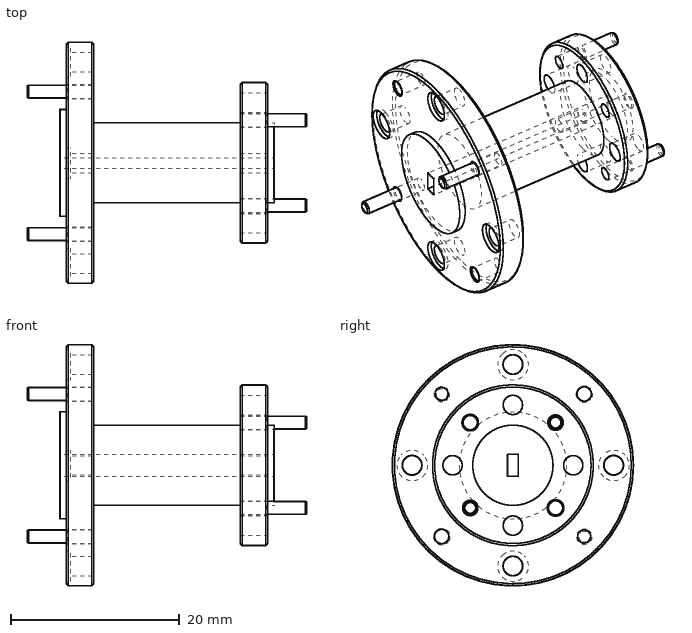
import cadquery as cq
import math


length = 25.4
boss_height = 0.75
flange_thickness = 3.28
pin_reach = 3.88
pin_chamfer_length = 0.2
flange_chamfer = 0.25

large_diameter = 28.58
large_boss_diameter = 12.7
large_hole_circle = 23.87
counterbore_diameter = 3.6
counterbore_depth = 0.5

small_diameter = 19.05
tube_diameter = 9.5
small_hole_circle = 14.3

screw_hole_diameter = 2.3
dowel_hole_diameter = 1.7
hole_chamfer = 0.13
pin_diameter = 1.55
pin_chamfer_width = 0.13

bore_width = 1.25
bore_height = 2.55

large_face = boss_height
large_back = large_face + flange_thickness
small_face = length - boss_height
small_back = small_face - flange_thickness

SCREW_ANGLES = [0, 90, 180, 270]
LARGE_PIN_ANGLES = [135, 315]
LARGE_DOWEL_ANGLES = [45, 225]
SMALL_PIN_ANGLES = [45, 225]
SMALL_DOWEL_ANGLES = [135, 315]


def cylinder(x, diameter, depth, y=0.0, z=0.0):
    """Solid cylinder along +X that starts at x."""
    return cq.Workplane("YZ", origin=(x, y, z)).circle(diameter / 2).extrude(depth)


def on_circle(circle_diameter, angle):
    """Y and Z of a place on a hole circle, with the angle measured from +Y towards +Z."""
    radius = circle_diameter / 2
    return radius * math.cos(math.radians(angle)), radius * math.sin(math.radians(angle))


def drill(body, x, circle_diameter, angles, diameter, depth):
    """Cut one hole at each angle of a hole circle."""
    for angle in angles:
        body = body.cut(cylinder(x, diameter, depth, *on_circle(circle_diameter, angle)))
    return body


def make_flange(x, diameter):
    """Flange disc with both rims chamfered."""
    return cylinder(x, diameter, flange_thickness).edges().chamfer(flange_chamfer)


def drill_chamfered(body, face_x, inward, circle_diameter, angles, diameter):
    """Drill through a flange from its outer face, inward along X (1 or -1), chamfering each mouth."""
    direction = cq.Vector(inward, 0, 0)
    for angle in angles:
        mouth_center = cq.Vector(face_x, *on_circle(circle_diameter, angle))
        bore = cq.Solid.makeCylinder(diameter / 2, flange_thickness, mouth_center, direction)
        mouth = cq.Solid.makeCone(
            diameter / 2 + hole_chamfer,
            diameter / 2,
            hole_chamfer,
            mouth_center,
            direction,
        )
        body = body.cut(cq.Workplane(bore)).cut(cq.Workplane(mouth))
    return body


def make_housing():
    """Tube, both flanges and both bosses as one body, with all its holes."""
    body = cylinder(0, large_boss_diameter, large_back)
    body = body.union(make_flange(large_face, large_diameter))
    body = body.union(make_flange(small_back, small_diameter))
    body = body.union(cylinder(large_face, tube_diameter, length - large_face))

    body = body.cut(cq.Workplane("YZ").rect(bore_width, bore_height).extrude(length))

    body = drill(body, large_face, large_hole_circle, SCREW_ANGLES, screw_hole_diameter, flange_thickness)
    body = drill(body, large_face, large_hole_circle, SCREW_ANGLES, counterbore_diameter, counterbore_depth)
    body = drill_chamfered(body, large_face, 1, large_hole_circle, LARGE_PIN_ANGLES, pin_diameter)
    body = drill_chamfered(body, large_face, 1, large_hole_circle, LARGE_DOWEL_ANGLES, dowel_hole_diameter)

    body = drill(body, small_back, small_hole_circle, SCREW_ANGLES, screw_hole_diameter, flange_thickness)
    body = drill_chamfered(body, small_face, -1, small_hole_circle, SMALL_PIN_ANGLES, pin_diameter)
    body = drill_chamfered(body, small_face, -1, small_hole_circle, SMALL_DOWEL_ANGLES, dowel_hole_diameter)
    return body


def make_pin(inner_x, outward, circle_diameter, angle):
    """Pin from a flange's inner face outward along X (1 or -1), ending in a tapered tip."""
    direction = cq.Vector(outward, 0, 0)
    y, z = on_circle(circle_diameter, angle)
    shank_length = flange_thickness + boss_height + pin_reach - pin_chamfer_length
    shank = cq.Solid.makeCylinder(pin_diameter / 2, shank_length, cq.Vector(inner_x, y, z), direction)
    tip = cq.Solid.makeCone(
        pin_diameter / 2,
        pin_diameter / 2 - pin_chamfer_width,
        pin_chamfer_length,
        cq.Vector(inner_x + outward * shank_length, y, z),
        direction,
    )
    return cq.Workplane(shank).union(cq.Workplane(tip))


housing = make_housing()
large_pins = [make_pin(large_back, -1, large_hole_circle, angle) for angle in LARGE_PIN_ANGLES]
small_pins = [make_pin(small_back, 1, small_hole_circle, angle) for angle in SMALL_PIN_ANGLES]

result = cq.Compound.makeCompound([housing.val(), *[pin.val() for pin in large_pins + small_pins]])